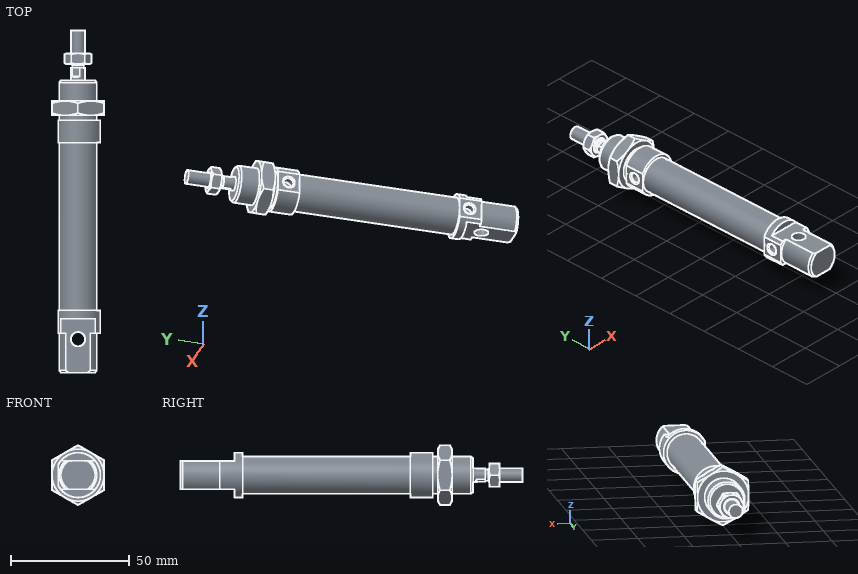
import cadquery as cq
import math

overall_length = 145.0

rear_collar_start = 16.7
tail_flat_end = 22.9
rear_collar_end = 26.4
front_collar_start = 97.5
front_collar_end = 107.0
nose_end = 124.0

barrel_diameter = 16.0
collar_diameter = 19.0
end_face_diameter = 14.5
end_bevel_length = 1.0
collar_flat_offset = 8.4
tail_thickness = 12.0
pivot_hole_diameter = 6.0
pivot_hole_position = 14.2

port_mouth_diameter = 5.4
port_diameter = 4.2
port_depth = 4.4
front_port_position = (front_collar_start + front_collar_end) / 2
rear_port_position = 22.0

rod_diameter = 6.0
neck_diameter = 5.0
neck_start = 129.2
neck_end = 130.4
rod_flat_spacing = 5.0
rod_flat_start = 125.1
rod_flat_tilt = 21.0

nose_nut_start = 109.0
nose_nut_thickness = 6.1
nose_nut_flats = 22.0
rod_nut_start = 130.8
rod_nut_thickness = 4.5
rod_nut_flats = 10.0
nut_bevel_angle = 30.0
rod_nut_countersink = 0.5


def cylinder_y(diameter, start, end):
    """Solid cylinder on the Y axis between two stations."""
    return cq.Workplane("XZ", origin=(0, start, 0)).circle(diameter / 2).extrude(start - end)


def revolve_y(outline):
    """Revolve (radius, station) points about the Y axis."""
    return cq.Workplane("XY").polyline(outline).close().revolve(360, (0, 0, 0), (0, 1, 0))


def block(x_range, y_range, z_range):
    """Box spanning the given ranges."""
    size = [high - low for low, high in (x_range, y_range, z_range)]
    corner = (x_range[0], y_range[0], z_range[0])
    return cq.Workplane("XY").box(*size, centered=False).translate(corner)


def make_port_cutter(position):
    """Blind port with a countersunk mouth, entering from the port flat."""
    mouth = port_mouth_diameter / 2
    bore = port_diameter / 2
    outline = [(0, 0), (mouth, 0), (bore, mouth - bore), (bore, port_depth), (0, port_depth)]
    cutter = revolve_y(outline).rotate((0, 0, 0), (0, 0, 1), -90)
    return cutter.translate((-collar_flat_offset, position, 0))


def make_cylinder_body():
    barrel = barrel_diameter / 2
    collar = collar_diameter / 2
    end_face = end_face_diameter / 2
    body = revolve_y([
        (0, 0),
        (end_face, 0),
        (barrel, end_bevel_length),
        (barrel, rear_collar_start),
        (collar, rear_collar_start),
        (collar, rear_collar_end),
        (barrel, rear_collar_end),
        (barrel, front_collar_start),
        (collar, front_collar_start),
        (collar, front_collar_end),
        (barrel, front_collar_end),
        (barrel, nose_end - end_bevel_length),
        (end_face, nose_end),
        (0, nose_end),
    ])

    body = body.cut(block((-collar, -collar_flat_offset), (0, nose_end), (-collar, collar)))

    for low, high in ((tail_thickness / 2, collar), (-collar, -tail_thickness / 2)):
        body = body.cut(block((-collar, collar), (0, tail_flat_end), (low, high)))

    pivot_hole = (
        cq.Workplane("XY", origin=(0, pivot_hole_position, 0))
        .circle(pivot_hole_diameter / 2)
        .extrude(tail_thickness, both=True)
    )
    body = body.cut(pivot_hole)

    for position in (front_port_position, rear_port_position):
        body = body.cut(make_port_cutter(position))
    return body


def make_piston_rod():
    """Rod standing on the nose face, with a thread undercut and two spanner flats."""
    radius = rod_diameter / 2
    neck = neck_diameter / 2
    rod = revolve_y([
        (0, nose_end),
        (radius, nose_end),
        (radius, neck_start),
        (neck, neck_start),
        (neck, neck_end),
        (radius, neck_end + radius - neck),
        (radius, overall_length),
        (0, overall_length),
    ])
    flat_height = rod_flat_spacing / 2
    ramp = radius - flat_height
    flat = (
        cq.Workplane("YZ")
        .polyline([
            (rod_flat_start, radius),
            (rod_flat_start + ramp, flat_height),
            (neck_start, flat_height),
            (neck_start, radius),
        ])
        .close()
        .extrude(radius, both=True)
    )
    for angle in (-rod_flat_tilt, 180 - rod_flat_tilt):
        rod = rod.cut(flat.rotate((0, 0, 0), (0, 1, 0), angle))
    return rod


def make_nut(start, thickness, flats, bore_diameter, first_corner_angle):
    """Hexagon nut on the Y axis with its corners bevelled at both faces."""
    corner_radius = flats / 2 / math.cos(math.pi / 6)
    corners = []
    for i in range(6):
        angle = math.radians(first_corner_angle + 60 * i)
        corners.append((corner_radius * math.cos(angle), corner_radius * math.sin(angle)))
    hexagon = cq.Workplane("XZ", origin=(0, start, 0)).polyline(corners).close().extrude(-thickness)

    face_radius = flats / 2
    bevel_length = (corner_radius - face_radius) * math.tan(math.radians(nut_bevel_angle))
    bevel_envelope = revolve_y([
        (0, start),
        (face_radius, start),
        (corner_radius, start + bevel_length),
        (corner_radius, start + thickness - bevel_length),
        (face_radius, start + thickness),
        (0, start + thickness),
    ])
    return hexagon.intersect(bevel_envelope).cut(cylinder_y(bore_diameter, start, start + thickness))


def make_nose_nut():
    return make_nut(nose_nut_start, nose_nut_thickness, nose_nut_flats, barrel_diameter, 30)


def make_rod_nut():
    """Rod nut with corners on the X axis and a countersunk bore."""
    nut = make_nut(rod_nut_start, rod_nut_thickness, rod_nut_flats, rod_diameter, 0)
    bore = rod_diameter / 2
    for face, inward in ((rod_nut_start, 1), (rod_nut_start + rod_nut_thickness, -1)):
        depth = inward * rod_nut_countersink
        nut = nut.cut(revolve_y([
            (0, face),
            (bore + rod_nut_countersink, face),
            (bore, face + depth),
            (0, face + depth),
        ]))
    return nut


cylinder_body = make_cylinder_body()
piston_rod = make_piston_rod()
nose_nut = make_nose_nut()
rod_nut = make_rod_nut()

result = cq.Compound.makeCompound([
    cylinder_body.val(),
    piston_rod.val(),
    nose_nut.val(),
    rod_nut.val(),
])